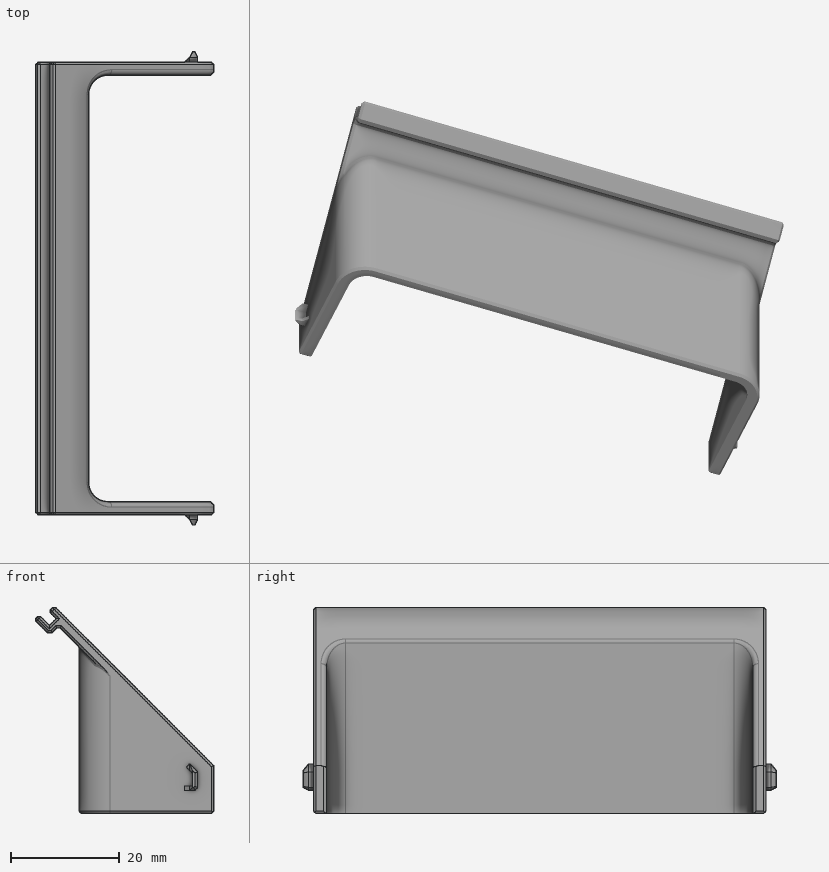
import cadquery as cq
import math

body_depth = 24.8
overall_width = 87.0
body_width = 83.2
arm_end_height = 8.8
edge_chamfer = 0.4
half_width = body_width / 2
back_height = arm_end_height + body_depth

back_thickness = 1.8
arm_thickness = 2.4
outer_corner_radius = 5.7
inner_corner_radius = 3.5
arm_end_chamfer = 0.6
inner_top_fillet = 1.05

plate_joint_fillet = 0.5
plate_start = 12.2
plate_depth = 2.1
tongue_length = 41.5
tongue_depth = 1.4
slot_floor_length = 39.6
neck_length = 38.3
lip_length = 42.3
lip_top_depth = 3.1
lip_bottom_depth = 4.35
lip_heel_chamfer = 0.6
clip_tip_chamfer = 0.35
neck_bevel = 0.4

catch_height = (overall_width - body_width) / 2
catch_side_height = 0.9
catch_edge_inset = 0.5
catch_back_x = 19.4
catch_front_x = 21.8
catch_inner_x = 20.9
catch_shoulder_x = 20.4
catch_bottom_z = 4.3
catch_opening_bottom_z = 5.05
catch_bend_z = 7.65
catch_inner_bend_z = 7.4
catch_tip_x = 20.4
catch_heel_chamfer = 0.5
catch_opening_overrun = 0.9

selection_margin = 0.1


def slope_point(length, depth):
    """X and Z of a point up the slope from the arm end and below its top face."""
    along = math.sqrt(0.5)
    return (
        body_depth - (length + depth) * along,
        arm_end_height + (length - depth) * along,
    )


def side_prism(points):
    """Prism of an XZ outline, centred in Y, with chamfered rims at both ends."""
    prism = cq.Workplane("XZ").polyline(points).close().extrude(half_width, both=True)
    return prism.faces("|Y").edges().chamfer(edge_chamfer)


def make_wall():
    """Solid block with rounded back corners, cut to the 45 degree slope."""
    block = (
        cq.Workplane("XY")
        .box(body_depth, body_width, back_height, centered=(False, True, False))
        .edges("|Z and <X")
        .fillet(outer_corner_radius)
        .faces("<Z")
        .edges()
        .chamfer(edge_chamfer)
    )
    wedge = side_prism([(0, 0), (body_depth, 0), (body_depth, arm_end_height), (0, back_height)])
    return block.intersect(wedge)


def make_plate():
    """Plate along the slope, ending in a tongue and a hooked lip."""
    outline = [
        slope_point(plate_start, 0),
        slope_point(tongue_length - clip_tip_chamfer, 0),
        slope_point(tongue_length, clip_tip_chamfer),
        slope_point(tongue_length, tongue_depth - clip_tip_chamfer),
        slope_point(tongue_length - clip_tip_chamfer, tongue_depth),
        slope_point(slot_floor_length, tongue_depth),
        slope_point(slot_floor_length, lip_top_depth),
        slope_point(lip_length - clip_tip_chamfer, lip_top_depth),
        slope_point(lip_length, lip_top_depth + clip_tip_chamfer),
        slope_point(lip_length, lip_bottom_depth - clip_tip_chamfer),
        slope_point(lip_length - clip_tip_chamfer, lip_bottom_depth),
        slope_point(neck_length + lip_heel_chamfer, lip_bottom_depth),
        slope_point(neck_length, lip_bottom_depth - lip_heel_chamfer),
        slope_point(neck_length, plate_depth + neck_bevel),
        slope_point(neck_length - neck_bevel, plate_depth),
        slope_point(plate_start, plate_depth),
    ]
    return side_prism(outline)


def make_opening():
    """Space between the arms, open at the front, the top and the bottom."""
    return (
        cq.Workplane("XY")
        .box(body_depth, body_width - 2 * arm_thickness, back_height, centered=(False, True, False))
        .edges("|Z and <X")
        .fillet(inner_corner_radius)
        .translate((back_thickness, 0, 0))
    )


def make_catch():
    """Catch on the -Y arm: a C-shaped rib with a bevelled outer side and sloping ends."""
    tip_z = catch_bend_z + catch_front_x - catch_tip_x
    outline = [
        (catch_back_x, catch_bottom_z),
        (catch_front_x - catch_heel_chamfer, catch_bottom_z),
        (catch_front_x, catch_bottom_z + catch_heel_chamfer),
        (catch_front_x, catch_bend_z),
        (catch_tip_x, tip_z),
        (catch_back_x, tip_z - (catch_tip_x - catch_back_x)),
    ]
    opening_back_x = catch_back_x - catch_opening_overrun
    opening_outline = [
        (opening_back_x, catch_opening_bottom_z),
        (catch_inner_x, catch_opening_bottom_z),
        (catch_inner_x, catch_inner_bend_z),
        (opening_back_x, catch_inner_bend_z + catch_inner_x - opening_back_x),
    ]
    bevel_height = catch_height - catch_side_height
    bevel_angle = math.degrees(math.atan2(catch_edge_inset, bevel_height))

    arm_face = cq.Workplane("XZ", origin=(0, -half_width, 0))
    catch = arm_face.polyline(outline).close().extrude(catch_side_height)
    bevel = (
        arm_face.workplane(offset=catch_side_height)
        .polyline(outline)
        .close()
        .extrude(bevel_height, taper=bevel_angle)
    )
    opening = arm_face.polyline(opening_outline).close().extrude(catch_height)
    ramp = (
        cq.Workplane("XY")
        .moveTo(catch_back_x, -half_width)
        .lineTo(catch_shoulder_x, -half_width - catch_side_height)
        .lineTo(catch_inner_x, -half_width - catch_height)
        .lineTo(catch_front_x, -half_width - catch_height)
        .lineTo(catch_front_x, -half_width)
        .close()
        .extrude(back_height)
    )
    return catch.union(bevel).cut(opening).intersect(ramp)


def edges_between(x_range, y_reach, z_range):
    """Selector for edges wholly inside a box centred in Y, with a little slack all round."""
    low = (x_range[0], -y_reach, z_range[0])
    high = (x_range[1], y_reach, z_range[1])
    return cq.selectors.BoxSelector(
        tuple(value - selection_margin for value in low),
        tuple(value + selection_margin for value in high),
        boundingbox=True,
    )


inner_half_width = half_width - arm_thickness

body = make_wall().union(make_plate())

plate_joint = edges_between(
    (0, outer_corner_radius),
    half_width,
    (arm_end_height, back_height - plate_depth),
)
body = body.edges(plate_joint).fillet(plate_joint_fillet)

body = body.cut(make_opening())

arm_end_edges = edges_between((body_depth, body_depth), inner_half_width, (0, arm_end_height))
body = body.edges("|Z").edges(arm_end_edges).chamfer(arm_end_chamfer)

inner_rim = edges_between(
    (back_thickness, body_depth),
    inner_half_width,
    (arm_end_height, back_height),
)
body = body.edges(inner_rim).fillet(inner_top_fillet)

catch = make_catch()
result = body.union(catch).union(catch.mirror("XZ"))